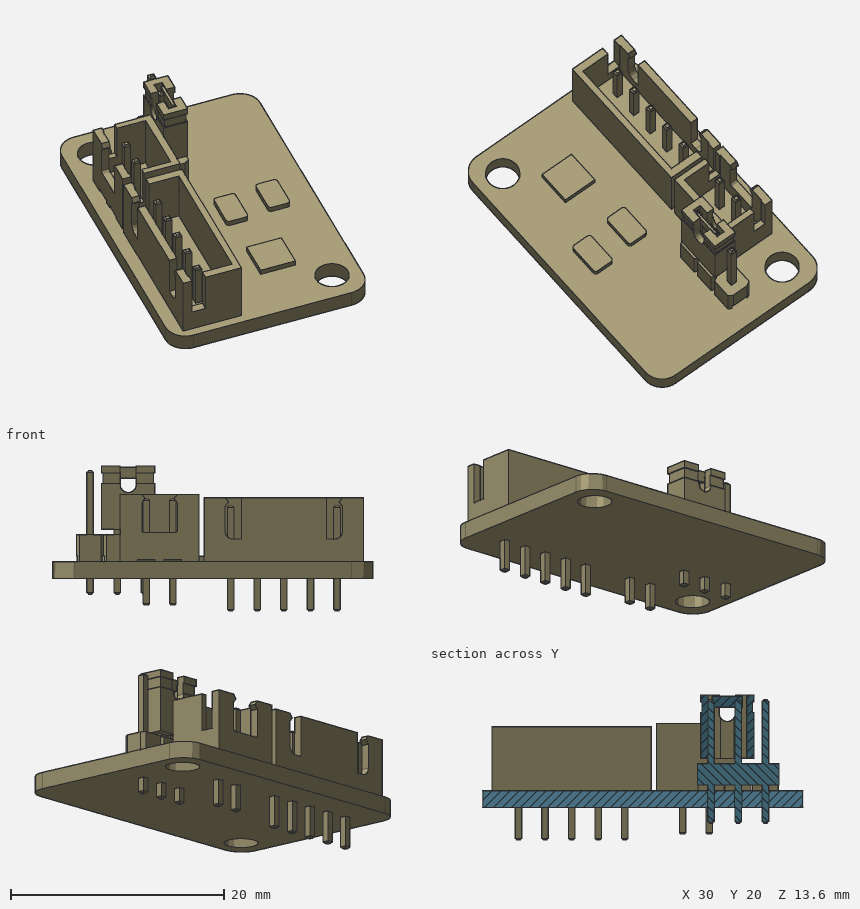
import cadquery as cq


board_length = 30.0
board_width = 20.0
board_thickness = 1.6
board_corner_radius = 2.0
mount_hole_diameter = 3.2
mount_hole_centres = [(-12.12, -7.05), (12.03, 7.2)]

chip_height = 0.5
square_chip_side = 3.5
square_chip_centre = (7.68, 2.8)
small_chip_length = 3.55
small_chip_width = 2.15
small_chip_corner_radius = 0.3
small_chip_centres = [(-0.15, 6.12), (0.2, 1.75)]

pin_side = 0.63

header_pin_count = 3
header_pitch = 2.55
header_centre_x = -8.95
header_centre_y = -1.53
header_height = 2.52
header_depth = 2.52
header_chamfer_x = 0.27
header_chamfer_y = 0.45
header_channel_width = 1.83
header_channel_height = 0.5
header_pin_top = 8.52
header_pin_bottom = -3.05
header_pin_chamfer = 0.18

jumper_centre_x = -7.92
jumper_length = 5.0
jumper_centre_y = -1.55
jumper_depth = 2.43
jumper_bottom = 3.03
jumper_top = 8.97
jumper_groove_bottom = 7.32
jumper_groove_top = 8.3
jumper_groove_inset = 0.12
jumper_notch_width = 1.5
jumper_notch_bottom = 6.48
jumper_slot_length = 3.6
jumper_slot_back = -1.2
jumper_slot_front = -2.0
jumper_window_width = 1.25
jumper_window_back = -1.02
jumper_window_front = -2.4
contact_length = 2.82
contact_thickness = 0.27
contact_bottom = 7.8
contact_top = 8.85

connector_pitch = 2.5
connector_back = header_centre_y - header_depth / 2
connector_pin_y = -6.25
connector_pin_bevel = 0.15
connector_floor = 1.0
side_slot_back = -6.42
side_slot_front_lip = 0.1
nub_reach = 0.33
nub_height = 0.8

small_connector_pin_count = 2
small_connector_centre_x = -4.98
small_connector_length = 7.4
small_connector_depth = 5.8
small_connector_height = 6.3
small_connector_cavity = (6.25, 4.3)
small_connector_back_wall = 0.72
small_connector_slot_floor = 2.73
small_connector_pin_top = 5.88
small_connector_pin_bottom = -4.08
small_connector_slot_width = 3.33
small_connector_slot_radius = 0.2
small_connector_notch_width = 1.65
small_connector_notch_height = 0.2

large_connector_pin_count = 5
large_connector_centre_x = 6.65
large_connector_length = 14.95
large_connector_depth = 5.88
large_connector_height = 6.0
large_connector_cavity = (13.35, 4.47)
large_connector_back_wall = 0.63
large_connector_slot_floor = 2.1
large_connector_pin_top = 5.22
large_connector_pin_bottom = -4.62
large_connector_slot_span = 11.0
large_connector_slot_width = 1.53
large_connector_slot_radius = 0.78


def block(x_range, y_range, z_range):
    """Box between the given limits along each axis."""
    size = [high - low for low, high in (x_range, y_range, z_range)]
    corner = (x_range[0], y_range[0], z_range[0])
    return cq.Workplane("XY").box(*size, centered=False).translate(corner)


def around(centre, width):
    """Limits of a span of the given width about a centre."""
    return (centre - width / 2, centre + width / 2)


def row_positions(centre_x, count, pitch):
    """X places of an evenly spaced row of pins."""
    return [centre_x + (i - (count - 1) / 2) * pitch for i in range(count)]


def square_pin(x, y, bottom, top, chamfer):
    """Upright square pin with both tips chamfered."""
    pin = block(around(x, pin_side), around(y, pin_side), (bottom, top))
    return pin.faces("<Z or >Z").chamfer(chamfer)


def make_header():
    """Row of octagonal cells standing on corner feet, with its pins."""
    half_x = header_pitch / 2
    half_y = header_depth / 2
    flat_x = half_x - header_chamfer_x
    flat_y = half_y - header_chamfer_y
    quarter = [(flat_x, half_y), (half_x, flat_y)]
    right_side = quarter + [(x, -y) for x, y in reversed(quarter)]
    outline = right_side + [(-x, -y) for x, y in right_side]
    cell = cq.Workplane("XY").polyline(outline).close().extrude(header_height)

    pin_places = row_positions(header_centre_x, header_pin_count, header_pitch)
    row_length = header_pin_count * header_pitch
    body = cq.Workplane("XY")
    for x in pin_places:
        body = body.union(cell.translate((x, header_centre_y, 0)))
    body = body.cut(block(
        around(header_centre_x, row_length),
        around(header_centre_y, header_channel_width),
        (0, header_channel_height),
    ))
    for x in pin_places:
        body = body.union(square_pin(
            x, header_centre_y, header_pin_bottom, header_pin_top, header_pin_chamfer
        ))
    return body


def make_jumper(header):
    """Cap with a finger groove, a round-bottomed notch and a contact strip."""
    x_range = around(jumper_centre_x, jumper_length)
    y_range = around(jumper_centre_y, jumper_depth)
    cap = block(x_range, y_range, (jumper_bottom, jumper_top))

    groove_z = (jumper_groove_bottom, jumper_groove_top)
    neck = block(
        around(jumper_centre_x, jumper_length - 2 * jumper_groove_inset),
        around(jumper_centre_y, jumper_depth - 2 * jumper_groove_inset),
        groove_z,
    )
    cap = cap.cut(block(x_range, y_range, groove_z).cut(neck))

    notch_radius = jumper_notch_width / 2
    notch_centre_z = jumper_notch_bottom + notch_radius
    notch_x = around(jumper_centre_x, jumper_notch_width)
    round_bottom = (
        cq.Workplane("XZ", origin=(jumper_centre_x, y_range[1], notch_centre_z))
        .circle(notch_radius)
        .extrude(jumper_depth)
    )
    cap = cap.cut(block(notch_x, y_range, (notch_centre_z, jumper_top)).union(round_bottom))

    full_height = (jumper_bottom, jumper_top)
    slot_x = around(jumper_centre_x, jumper_slot_length)
    cap = cap.cut(block(slot_x, (jumper_slot_front, jumper_slot_back), full_height))
    window_x = around(jumper_centre_x, jumper_window_width)
    cap = cap.cut(block(window_x, (jumper_window_front, jumper_window_back), full_height))

    contact = block(
        around(jumper_centre_x, contact_length),
        (jumper_slot_back - contact_thickness, jumper_slot_back),
        (contact_bottom, contact_top),
    )
    return cap.union(contact).cut(header)


def make_shroud(centre_x, length, depth, height, cavity, back_wall, slot_floor):
    """Open-topped connector shell with a slot through each end wall."""
    front = connector_back - depth
    cavity_length, cavity_depth = cavity
    cavity_back = connector_back - back_wall
    cavity_front = cavity_back - cavity_depth
    x_range = around(centre_x, length)
    shell = block(x_range, (front, connector_back), (0, height))
    shell = shell.cut(block(
        around(centre_x, cavity_length), (cavity_front, cavity_back), (connector_floor, height)
    ))
    side_slot_y = (cavity_front + side_slot_front_lip, side_slot_back)
    return shell.cut(block(x_range, side_slot_y, (slot_floor, height)))


def front_slot(x_range, front, wall, floor, height, rounded_edges, radius):
    """Cutter for a slot in the front wall, with its chosen bottom edges rounded."""
    cutter = block(x_range, (front, front + wall), (floor, height))
    return cutter.edges("|Y and <Z").edges(rounded_edges).fillet(radius)


def latch_nub(edge_x, direction, front, wall, height):
    """Triangular nub at the top of a slot edge, pointing along the direction."""
    profile = [
        (edge_x, height),
        (edge_x + direction * nub_reach, height - nub_height / 2),
        (edge_x, height - nub_height),
    ]
    return cq.Workplane("XZ", origin=(0, front + wall, 0)).polyline(profile).close().extrude(wall)


def add_connector_pins(shell, pin_places, bottom, top):
    """Shell joined with its row of pins."""
    for x in pin_places:
        shell = shell.union(square_pin(x, connector_pin_y, bottom, top, connector_pin_bevel))
    return shell


def make_small_connector():
    """Two-pin connector with one wide front slot."""
    front = connector_back - small_connector_depth
    height = small_connector_height
    wall = small_connector_depth - small_connector_back_wall - small_connector_cavity[1]
    body = make_shroud(
        small_connector_centre_x, small_connector_length, small_connector_depth, height,
        small_connector_cavity, small_connector_back_wall, small_connector_slot_floor,
    )
    slot_x = around(small_connector_centre_x, small_connector_slot_width)
    body = body.cut(front_slot(
        slot_x, front, wall, small_connector_slot_floor, height,
        "<X or >X", small_connector_slot_radius,
    ))
    for edge_x, direction in zip(slot_x, (1, -1)):
        body = body.union(latch_nub(edge_x, direction, front, wall, height))

    pin_places = row_positions(
        small_connector_centre_x, small_connector_pin_count, connector_pitch
    )
    for x in pin_places:
        left = x - small_connector_notch_width / 2
        relief = (
            cq.Workplane("YZ", origin=(left, front, 0))
            .polyline([(0, 0), (wall, 0), (0, small_connector_notch_height)])
            .close()
            .extrude(small_connector_notch_width)
        )
        body = body.cut(relief)
    return add_connector_pins(
        body, pin_places, small_connector_pin_bottom, small_connector_pin_top
    )


def make_large_connector():
    """Five-pin connector with a narrow front slot near each end."""
    front = connector_back - large_connector_depth
    height = large_connector_height
    wall = large_connector_depth - large_connector_back_wall - large_connector_cavity[1]
    body = make_shroud(
        large_connector_centre_x, large_connector_length, large_connector_depth, height,
        large_connector_cavity, large_connector_back_wall, large_connector_slot_floor,
    )
    left, right = around(large_connector_centre_x, large_connector_slot_span)
    slots = [
        ((left, left + large_connector_slot_width), "<X", left, 1),
        ((right - large_connector_slot_width, right), ">X", right, -1),
    ]
    for slot_x, rounded_edge, outer_x, direction in slots:
        body = body.cut(front_slot(
            slot_x, front, wall, large_connector_slot_floor, height,
            rounded_edge, large_connector_slot_radius,
        ))
        body = body.union(latch_nub(outer_x, direction, front, wall, height))
    pin_places = row_positions(
        large_connector_centre_x, large_connector_pin_count, connector_pitch
    )
    return add_connector_pins(
        body, pin_places, large_connector_pin_bottom, large_connector_pin_top
    )


def make_board(pinned_parts):
    """Rounded board with two mounting holes and a fitting hole for every pin."""
    board = (
        block(around(0, board_length), around(0, board_width), (-board_thickness, 0))
        .edges("|Z").fillet(board_corner_radius)
        .faces(">Z").workplane(origin=(0, 0, 0))
        .pushPoints(mount_hole_centres)
        .hole(mount_hole_diameter)
    )
    for part in pinned_parts:
        board = board.cut(part)
    return board


def make_square_chip():
    """Flat chip with sharp corners."""
    x, y = square_chip_centre
    return block(around(x, square_chip_side), around(y, square_chip_side), (0, chip_height))


def make_small_chip(centre):
    """Flat rectangular chip with rounded upright edges."""
    x, y = centre
    chip = block(around(x, small_chip_length), around(y, small_chip_width), (0, chip_height))
    return chip.edges("|Z").fillet(small_chip_corner_radius)


header = make_header()
jumper = make_jumper(header)
small_connector = make_small_connector()
large_connector = make_large_connector()
board = make_board([header, small_connector, large_connector])
square_chip = make_square_chip()
small_chips = [make_small_chip(centre) for centre in small_chip_centres]

result = cq.Compound.makeCompound([
    board.solids().val(),
    header.solids().val(),
    jumper.solids().val(),
    small_connector.solids().val(),
    large_connector.solids().val(),
    square_chip.solids().val(),
    *[chip.solids().val() for chip in small_chips],
])